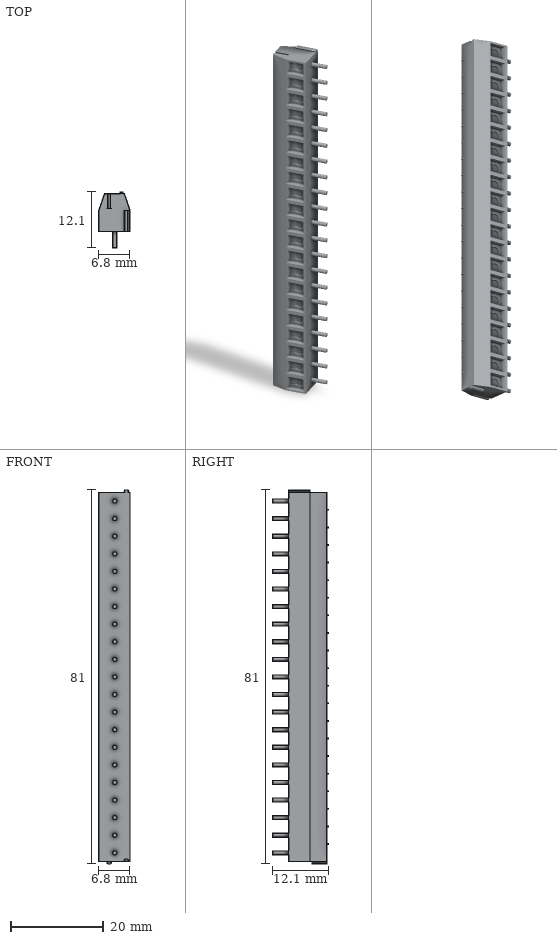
import cadquery as cq

pole_count = 21
total_length = 81.0
pitch = 3.8
body_length = pole_count * pitch
body_width = 6.8
body_depth = 8.3
shoulder_y = 4.6
roof_width = 4.3

pin_diameter = 0.9
pin_length = 3.5
pin_x = 0.1

window_front_y = 0.6
window_height = 3.0
window_depth = 1.4
window_front_draft = 0.25
window_back_draft = 0.4
cut_margin = 0.8

hole_y = 2.2
hole_radius = 1.0
hole_chord_y = 2.75
hole_depth = 0.4
slot_front_y = 3.15
slot_front_height = 1.5
slot_back_height = 2.0
slot_depth = 0.25

rail_height = (total_length - body_length) / 2
rail_belly_width = 1.05
rail_belly_height = 0.3
rail_neck_width = 0.65
rail_tip_width = 0.6
front_rail_x = 2.6
front_rail_length = shoulder_y
back_rail_x = -1.1
back_rail_length = 3.2

mark_x = 1.5
mark_width = 0.65
mark_height = 0.3
mark_thickness = 0.2

side_x = -body_width / 2
top_z = body_length / 2
floor_x = side_x + window_depth
pole_heights = [(i - (pole_count - 1) / 2) * pitch for i in range(pole_count)]
border_heights = [z + pitch / 2 for z in pole_heights[:-1]]


def make_body():
    """Housing with a flat front and a narrower flat roof at the back."""
    return (
        cq.Workplane("XY", origin=(0, 0, -top_z))
        .polyline([
            (side_x, 0),
            (-side_x, 0),
            (-side_x, shoulder_y),
            (roof_width / 2, body_depth),
            (-roof_width / 2, body_depth),
            (side_x, shoulder_y),
        ])
        .close()
        .extrude(body_length)
    )


def make_rail(x, back_y, length, end_z, direction):
    """Six-sided rail rising from end_z along Z in the given direction (+1 or -1), widest at its belly."""
    neck = rail_neck_width / 2
    belly = rail_belly_width / 2
    tip = rail_tip_width / 2
    belly_z = direction * rail_belly_height
    tip_z = direction * rail_height
    return (
        cq.Workplane("XZ", origin=(x, back_y, end_z))
        .polyline([
            (-neck, 0),
            (neck, 0),
            (belly, belly_z),
            (tip, tip_z),
            (-tip, tip_z),
            (-belly, belly_z),
        ])
        .close()
        .extrude(length)
    )


def make_front_rail(end_z):
    return make_rail(front_rail_x, front_rail_length, front_rail_length, end_z, 1)


def make_back_rail(end_z):
    return make_rail(back_rail_x, body_depth, back_rail_length, end_z, -1)


def make_window(z):
    """Window whose front and back walls close in towards its floor."""
    return (
        cq.Workplane("XY", origin=(0, 0, z - window_height / 2))
        .polyline([
            (side_x - cut_margin, window_front_y),
            (side_x, window_front_y),
            (floor_x, window_front_y + window_front_draft),
            (floor_x, shoulder_y - window_back_draft),
            (side_x, shoulder_y),
            (side_x - cut_margin, shoulder_y),
        ])
        .close()
        .extrude(window_height)
    )


def make_wire_hole(z):
    """Round recess cut off by a chord on the side of the slot."""
    disc = cq.Workplane("YZ", origin=(floor_x, hole_y, z)).circle(hole_radius).extrude(hole_depth)
    beyond_chord = cq.Workplane("XY").box(
        hole_depth, hole_radius, 2 * hole_radius, centered=(False, False, True)
    )
    return disc.cut(beyond_chord.translate((floor_x, hole_chord_y, z)))


def make_ramp(z):
    """Sloping step that leads from the slot down to the floor of the wire hole."""
    return (
        cq.Workplane("XY", origin=(0, 0, z - slot_front_height / 2))
        .polyline([
            (floor_x, hole_chord_y),
            (floor_x + hole_depth, hole_chord_y),
            (floor_x + slot_depth, slot_front_y),
            (floor_x, slot_front_y),
        ])
        .close()
        .extrude(slot_front_height)
    )


def make_slot(z):
    """Shallow recess that widens towards the back wall of the window."""
    back_y = shoulder_y - window_back_draft
    return (
        cq.Workplane("YZ", origin=(floor_x, 0, z))
        .polyline([
            (slot_front_y, -slot_front_height / 2),
            (back_y, -slot_back_height / 2),
            (back_y, slot_back_height / 2),
            (slot_front_y, slot_front_height / 2),
        ])
        .close()
        .extrude(slot_depth)
    )


def make_pin(z):
    return cq.Workplane("XZ", origin=(pin_x, 0, z)).circle(pin_diameter / 2).extrude(pin_length)


def make_mark(z):
    return cq.Workplane("XY").box(mark_width, mark_height, mark_thickness).translate(
        (mark_x, body_depth + mark_height / 2, z)
    )


def as_compound(parts):
    return cq.Workplane(cq.Compound.makeCompound([part.val() for part in parts]))


grooves = [make_front_rail(-top_z), make_back_rail(top_z)]
tongues = [make_front_rail(top_z), make_back_rail(-top_z)]
windows = [make_window(z) for z in pole_heights]
wire_holes = [make_wire_hole(z) for z in pole_heights]
ramps = [make_ramp(z) for z in pole_heights]
slots = [make_slot(z) for z in pole_heights]
pins = [make_pin(z) for z in pole_heights]
marks = [make_mark(z) for z in border_heights]

result = make_body()
for cutters in (grooves, windows, wire_holes, ramps, slots):
    result = result.cut(as_compound(cutters))
for additions in (tongues, pins, marks):
    result = result.union(as_compound(additions))